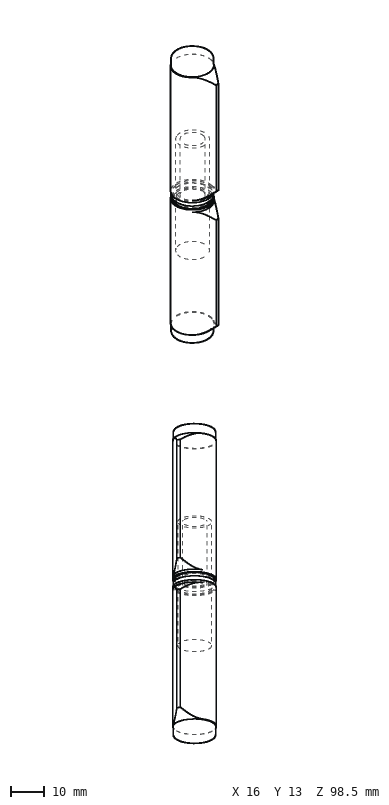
import cadquery as cq
import math

total_height = 98.5
mid_z = total_height / 2

barrel_radius = 13.0 / 2
tip_x = 9.5
tip_half_width = 0.6
gap_half_height = 1.3
wing_inner_offset = 2.1
wing_cone_height = 3.0

head_radius = 12.7 / 2
head_height = 3.6
rim_radius = 11.2 / 2
rim_drop = 0.5
rounding_drop = 1.3
end_flat_radius = 5.3 / 2

flange_radius = 12.7 / 2
flange_end_radius = 11.7 / 2
flange_band_half_height = 0.2
shank_radius = 10.0 / 2
journal_radius = 7.4 / 2
shank_depth = 19.7

tip_radius = math.hypot(tip_x, tip_half_width)


def teardrop_bar(z_start, height):
    """Bar of teardrop section: a circle with two tangent flanks ending in a flat nose."""
    tangent_angle = math.atan2(tip_half_width, tip_x) + math.acos(barrel_radius / tip_radius)
    tangent_x = barrel_radius * math.cos(tangent_angle)
    tangent_y = barrel_radius * math.sin(tangent_angle)
    return (
        cq.Workplane("XY", origin=(0, 0, z_start))
        .moveTo(tip_x, -tip_half_width)
        .lineTo(tip_x, tip_half_width)
        .lineTo(tangent_x, tangent_y)
        .threePointArc((-barrel_radius, 0), (tangent_x, -tangent_y))
        .close()
        .extrude(height)
    )


def turned_envelope():
    """Turned shape that trims the wing ends and forms the rounded outer end."""
    inner_z = mid_z + gap_half_height
    wing_inner_z = mid_z + wing_inner_offset
    head_z = total_height - head_height
    rounding_z = total_height - rounding_drop
    rim_z = total_height - rim_drop
    middle_r = rim_radius + (head_radius - rim_radius) * math.cos(math.pi / 4)
    middle_z = rounding_z + (rim_z - rounding_z) * math.sin(math.pi / 4)
    return (
        cq.Workplane("XZ")
        .moveTo(0, inner_z)
        .lineTo(barrel_radius, inner_z)
        .lineTo(barrel_radius, wing_inner_z)
        .lineTo(tip_radius, wing_inner_z + wing_cone_height)
        .lineTo(tip_radius, head_z - wing_cone_height)
        .lineTo(head_radius, head_z)
        .lineTo(head_radius, rounding_z)
        .threePointArc((middle_r, middle_z), (rim_radius, rim_z))
        .lineTo(end_flat_radius, total_height)
        .lineTo(0, total_height)
        .close()
        .revolve(360, (0, 0, 0), (0, 1, 0))
    )


def make_leaf():
    """Upper leaf with a blind bore for the bush."""
    bore = cq.Workplane("XY", origin=(0, 0, mid_z)).circle(shank_radius).extrude(shank_depth)
    return teardrop_bar(mid_z, mid_z).intersect(turned_envelope()).cut(bore)


def flanged_shank():
    """Upper plug: a flange with a curved outer side, and a shank that fills the leaf bore."""
    band_z = mid_z + flange_band_half_height
    flange_z = mid_z + gap_half_height
    middle_r = flange_end_radius + (flange_radius - flange_end_radius) * math.cos(math.pi / 4)
    middle_z = band_z + (flange_z - band_z) * math.sin(math.pi / 4)
    return (
        cq.Workplane("XZ")
        .moveTo(0, mid_z)
        .lineTo(flange_radius, mid_z)
        .lineTo(flange_radius, band_z)
        .threePointArc((middle_r, middle_z), (flange_end_radius, flange_z))
        .lineTo(shank_radius, flange_z)
        .lineTo(shank_radius, mid_z + shank_depth)
        .lineTo(0, mid_z + shank_depth)
        .close()
        .revolve(360, (0, 0, 0), (0, 1, 0))
    )


def mirrored_down(body):
    """Copy of an upper body mirrored about mid_z."""
    return body.mirror("XY", (0, 0, mid_z))


journal = cq.Workplane("XY", origin=(0, 0, mid_z)).circle(journal_radius).extrude(shank_depth)

upper_leaf = make_leaf()
lower_leaf = mirrored_down(upper_leaf)
bush = flanged_shank().cut(journal)
pin = mirrored_down(flanged_shank()).union(journal)

result = cq.Compound.makeCompound([upper_leaf.val(), lower_leaf.val(), bush.val(), pin.val()])